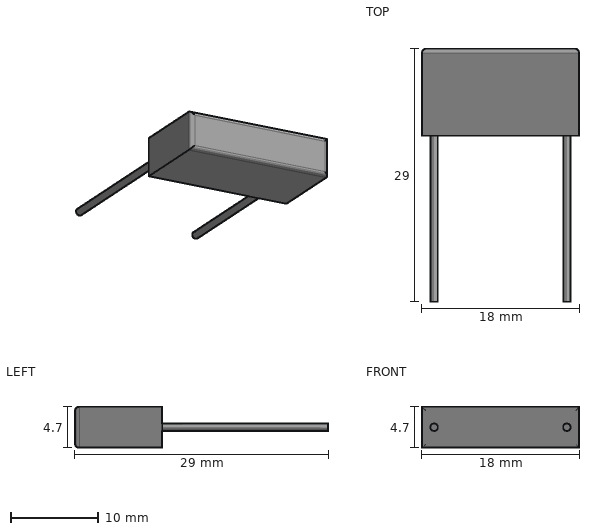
import cadquery as cq


case_width = 18.0
case_height = 4.7
overall_length = 29.0
case_length = 10.0
back_fillet = 0.5

lead_diameter = 0.87
lead_pitch = 15.2
lead_length = overall_length - case_length


def make_case():
    """Rectangular case with the edges of its back face rounded."""
    block = cq.Workplane("XY").box(
        case_width, case_length, case_height, centered=(True, False, True)
    )
    return block.faces(">Y").edges().fillet(back_fillet)


def make_lead(x):
    """Round wire that starts on the front face of the case."""
    front_face = cq.Workplane("XZ", origin=(x, 0, 0))
    return front_face.circle(lead_diameter / 2).extrude(lead_length)


case = make_case()
leads = [make_lead(side * lead_pitch / 2) for side in (-1, 1)]

result = cq.Compound.makeCompound([case.val(), *[lead.val() for lead in leads]])